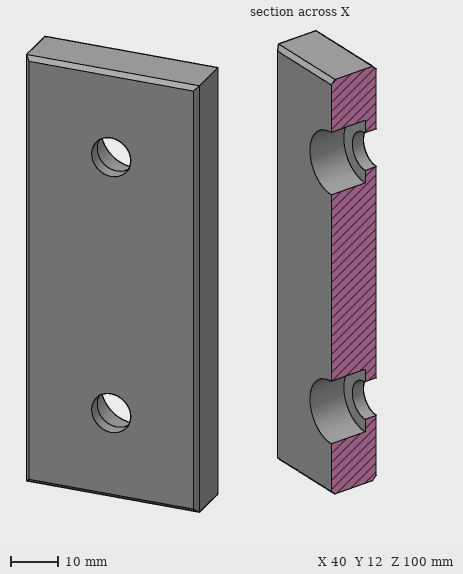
import cadquery as cq

width = 40.0
thickness = 12.0
height = 100.0
edge_chamfer = 1.0

hole_diameter = 9.0
hole_spacing = 60.0
counterbore_diameter = 15.0
counterbore_depth = 9.0


def make_plate():
    """Block with the front and back face outlines chamfered."""
    block = cq.Workplane("XY").box(width, thickness, height)
    return block.faces("<Y or >Y").edges().chamfer(edge_chamfer)


def drill_holes(plate):
    """Two through holes on the vertical centreline, counterbored from the back face."""
    return (
        plate.faces(">Y")
        .workplane(origin=(0, 0, 0))
        .pushPoints([(0, -hole_spacing / 2), (0, hole_spacing / 2)])
        .cboreHole(hole_diameter, counterbore_diameter, counterbore_depth)
    )


result = drill_holes(make_plate())